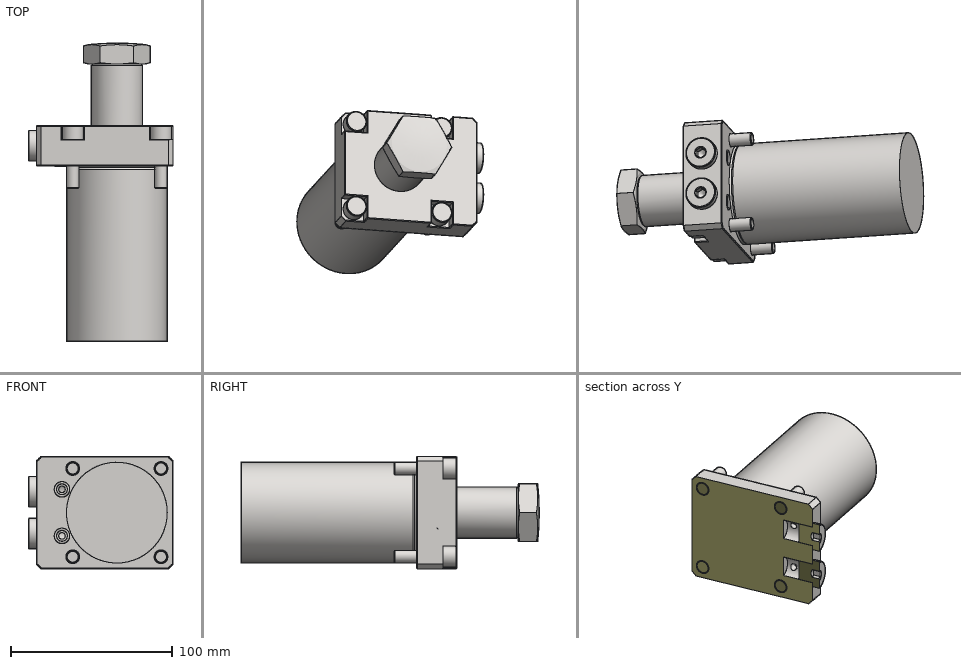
import cadquery as cq
import math


flange_left = 50.0
flange_half = 35.0
flange_thickness = 25.0
corner_chamfer = 3.0
edge_chamfer = 0.5

barrel_radius = 31.3
barrel_length = 108.9
groove_depth = 1.0
groove_half_width = 1.1

rod_radius = 32.0 / 2
rod_chamfer = 1.0
overall_top = 76.3
head_bottom = 63.1
head_across_flats = 36.1
head_crown_height = 1.0
head_bevel_height = 1.0
head_face_radius = 17.5

screw_offset = 27.4
shank_radius = 8.0 / 2
shank_chamfer = 0.5
shank_end = -13.9
screw_head_radius = 6.5
screw_head_chamfer = 0.5
clearance_radius = 4.3
pocket_width = 13.3
pocket_floor = 16.5

port_spacing = 26.0
port_y = flange_thickness / 2
port_radius = 6.5
port_end = -29.6
collar_radius = 19.0 / 2
collar_height = 5.0
collar_chamfer = 0.5
plug_length = 10.0
socket_across_flats = 6.0
socket_depth = 5.0
socket_rim_radius = 3.7
socket_tip_angle = 118.0

seat_port_x = -34.0
seat_port_spacing = 28.9
seat_port_radius = 2.0
ring_recess_radius = 4.8
ring_recess_depth = 1.1
ring_section_radius = 0.7

screw_places = [(x, z) for x in (-screw_offset, screw_offset) for z in (-screw_offset, screw_offset)]
plug_heights = (-port_spacing / 2, port_spacing / 2)
ring_heights = (-seat_port_spacing / 2, seat_port_spacing / 2)


def cylinder_y(radius, y_start, y_end, x=0.0, z=0.0):
    """Solid cylinder along Y between two Y positions."""
    base = cq.Workplane("XZ", origin=(x, y_start, z))
    return base.circle(radius).extrude(y_start - y_end)


def revolved_y(points):
    """Revolve a closed outline of (radius, y) points about the Y axis."""
    return cq.Workplane("XY").polyline(points).close().revolve(360, (0, 0, 0), (0, 1, 0))


def revolved_x(points):
    """Revolve a closed outline of (x, radius) points about the X axis."""
    return cq.Workplane("XY").polyline(points).close().revolve(360, (0, 0, 0), (1, 0, 0))


def make_flange():
    """Block with bevelled corners, four screw pockets and its Y faces and pocket rims broken."""
    flange = (
        cq.Workplane("XY")
        .box(flange_left + flange_half, flange_thickness, 2 * flange_half, centered=(False, False, True))
        .translate((-flange_left, 0, 0))
        .edges("|Y")
        .chamfer(corner_chamfer)
    )
    for x, z in screw_places:
        flange = flange.cut(make_screw_pocket(x, z))
    pocket_rims = cq.selectors.BoxSelector(
        (-flange_left + 2 * corner_chamfer, 0, -flange_half - 1.9),
        (flange_half - 1.2 * corner_chamfer, flange_thickness, flange_half + 1.9),
    )
    rim_edges = flange.faces("<Z or >Z").edges(pocket_rims)
    return flange.faces("<Y or >Y").edges().add(rim_edges).chamfer(edge_chamfer)


def make_screw_pocket(x, z):
    """Square-cornered pocket, open at the flange's top face, its nearer Z side and a close +X side."""
    inner = pocket_width / 2
    to_right = flange_half if x > 0 else inner
    z_start, z_end = sorted((z - math.copysign(inner, z), math.copysign(flange_half, z)))
    return cq.Workplane("XY").add(
        cq.Solid.makeBox(
            inner + to_right,
            flange_thickness - pocket_floor,
            z_end - z_start,
            cq.Vector(x - inner, pocket_floor, z_start),
        )
    )


def make_barrel():
    groove_bottom = barrel_radius - groove_depth
    return revolved_y([
        (0, 0),
        (barrel_radius, 0),
        (groove_bottom, -groove_half_width),
        (barrel_radius, -2 * groove_half_width),
        (barrel_radius, -barrel_length),
        (0, -barrel_length),
    ])


def make_rod():
    rod = cylinder_y(rod_radius, flange_thickness, head_bottom)
    return rod.faces(">Y").chamfer(rod_chamfer)


def make_hex_head():
    """Hexagon with bevelled corners and a slightly domed top face."""
    corner_radius = head_across_flats / math.sqrt(3)
    hexagon = (
        cq.Workplane("XZ", origin=(0, head_bottom, 0))
        .polygon(6, 2 * corner_radius)
        .extrude(head_bottom - overall_top)
    )
    rim_y = overall_top - head_crown_height
    crown_radius = (head_face_radius**2 + head_crown_height**2) / (2 * head_crown_height)
    half_angle = math.asin(head_face_radius / crown_radius) / 2
    crown_middle = (
        crown_radius * math.sin(half_angle),
        overall_top - crown_radius * (1 - math.cos(half_angle)),
    )
    envelope = (
        cq.Workplane("XY")
        .moveTo(0, head_bottom)
        .lineTo(head_face_radius, head_bottom)
        .lineTo(corner_radius, head_bottom + head_bevel_height)
        .lineTo(corner_radius, rim_y - head_bevel_height)
        .lineTo(head_face_radius, rim_y)
        .threePointArc(crown_middle, (0, overall_top))
        .close()
        .revolve(360, (0, 0, 0), (0, 1, 0))
    )
    return hexagon.intersect(envelope)


def make_cylinder_body():
    """Flange, barrel, rod and hexagonal head in one piece, with all its bores."""
    body = make_flange().union(make_barrel()).union(make_rod()).union(make_hex_head())
    for x, z in screw_places:
        body = body.cut(cylinder_y(clearance_radius, 0, pocket_floor, x, z))
    for z in plug_heights:
        body = body.cut(
            cq.Workplane("YZ", origin=(-flange_left, port_y, z))
            .circle(port_radius)
            .extrude(port_end + flange_left)
        )
    for z in ring_heights:
        body = body.cut(cylinder_y(seat_port_radius, 0, port_y, seat_port_x, z))
        body = body.cut(cylinder_y(ring_recess_radius, 0, ring_recess_depth, seat_port_x, z))
    return body


def make_screw(x, z):
    """Cap screw along Y with its head on the pocket floor."""
    shank = cylinder_y(shank_radius, shank_end, pocket_floor).faces("<Y").chamfer(shank_chamfer)
    head = cylinder_y(screw_head_radius, pocket_floor, flange_thickness)
    head = head.faces(">Y").chamfer(screw_head_chamfer)
    return shank.union(head).translate((x, 0, z))


def make_plug(z):
    """Port plug along X: a collar outside the flange, a stem in the port and a blind socket."""
    outer_x = -flange_left - collar_height
    collar = cq.Workplane("YZ", origin=(outer_x, port_y, z)).circle(collar_radius).extrude(collar_height)
    collar = collar.faces("<X").chamfer(collar_chamfer)
    stem = cq.Workplane("YZ", origin=(-flange_left, port_y, z)).circle(port_radius).extrude(plug_length)
    return collar.union(stem).cut(make_plug_socket().translate((outer_x, port_y, z)))


def make_plug_socket():
    """Hexagonal socket from X = 0 towards +X, with a conical bottom and a countersunk rim."""
    corner_radius = socket_across_flats / math.sqrt(3)
    countersink = socket_rim_radius - socket_across_flats / 2
    tip_depth = corner_radius / math.tan(math.radians(socket_tip_angle / 2))
    hexagon = (
        cq.Workplane("YZ")
        .transformed(rotate=(0, 0, 90))
        .polygon(6, 2 * corner_radius)
        .extrude(socket_depth + tip_depth)
    )
    drilled_hole = revolved_x([
        (0, 0),
        (0, corner_radius),
        (socket_depth, corner_radius),
        (socket_depth + tip_depth, 0),
    ])
    rim = revolved_x([
        (0, 0),
        (0, socket_rim_radius),
        (countersink, socket_across_flats / 2),
        (countersink, 0),
    ])
    return hexagon.intersect(drilled_hole).union(rim)


def make_o_ring(z):
    """O-ring that fills the corner of its recess and stands proud of the seat face."""
    return cq.Solid.makeTorus(
        ring_recess_radius - ring_section_radius,
        ring_section_radius,
        cq.Vector(seat_port_x, ring_recess_depth - ring_section_radius, z),
        cq.Vector(0, 1, 0),
    )


cylinder_body = make_cylinder_body()
screws = [make_screw(x, z).val() for x, z in screw_places]
plugs = [make_plug(z).val() for z in plug_heights]
o_rings = [make_o_ring(z) for z in ring_heights]

result = cq.Compound.makeCompound([cylinder_body.val(), *screws, *plugs, *o_rings])